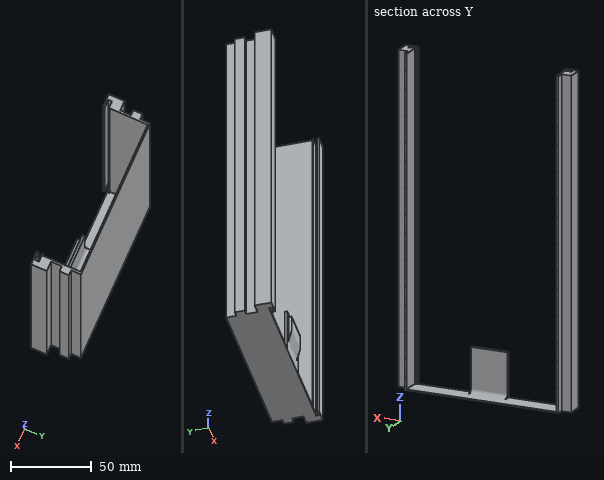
import cadquery as cq

width = 118.8
depth = 31.0
height = 220.0

wall = 1.5
panel = 1.0
wall_inset = 6.5
floor_front = 28.2

rib_inset = 3.0
rib_back = 6.5
rib_front = 13.0

rail_back = 20.2
rail_inner = 9.0
groove_end = 3.5
floor_inset = 5.3
groove_back = 27.3
groove_front = 29.7
lip_thickness = 0.7

plate_width = 25.0
plate_height = 30.8
plate_thickness = 1.8
foot_radius = 2.6

button_width = 19.4
button_projection = 2.2
button_bottom = 9.2
button_ramp_top = 17.8
button_top = 28.5
button_top_drop = 0.7
button_top_setback = 0.33


def block(x_start, x_end, front, back, z_height):
    """Upright block on the base plane; front and back are distances from the rear face."""
    return (
        cq.Workplane("XY")
        .box(x_end - x_start, front - back, z_height, centered=False)
        .translate((x_start, -front, 0))
    )


def side_profile(points, profile_width):
    """Extrude a (y, z) outline symmetrically about the middle of the part."""
    return cq.Workplane("YZ").polyline(points).close().extrude(profile_width / 2, both=True)


def make_left_side():
    left = -width / 2
    side = block(left + wall_inset, left + wall_inset + wall, groove_back, 0, height)
    side = side.union(block(left + rib_inset, left + wall_inset, rib_front, rib_back, height))
    side = side.union(block(left, left + wall_inset + wall, groove_back, rail_back, height))
    side = side.union(block(left, left + groove_end, depth, groove_back, height))
    side = side.union(block(left, left + rail_inner, depth, groove_front, height))
    lip_back = groove_back - lip_thickness
    return side.union(block(left + wall_inset, left + rail_inner, groove_back, lip_back, height))


def make_latch():
    plate_front = -floor_front
    plate_back = plate_front + plate_thickness
    plate = side_profile(
        [(plate_front, 0), (plate_back, 0), (plate_back, plate_height), (plate_front, plate_height)],
        plate_width,
    )
    foot_end = plate_back + foot_radius
    foot = (
        cq.Workplane("YZ")
        .moveTo(plate_back, panel)
        .lineTo(foot_end, panel)
        .radiusArc((plate_back, panel + foot_radius), foot_radius)
        .close()
        .extrude(plate_width / 2, both=True)
    )
    button_front = plate_front - button_projection
    button = side_profile(
        [
            (plate_back, button_bottom),
            (plate_front, button_bottom),
            (button_front, button_ramp_top),
            (button_front, button_top - button_top_drop),
            (button_front + button_top_setback, button_top),
            (plate_back, button_top),
        ],
        button_width,
    )
    return plate.union(foot).union(button)


panel_half = width / 2 - wall_inset
floor_half = width / 2 - floor_inset
inner_half = panel_half - wall
back_panel = block(-panel_half, panel_half, panel, 0, height)
floor = block(-inner_half, inner_half, floor_front, 0, panel)
groove_half = width / 2 - groove_end
groove_plug = block(-groove_half, -floor_half, groove_front, groove_back, panel)
floor_tongue = block(-floor_half, floor_half, floor_front, groove_back, panel)
left_side = make_left_side()

result = (
    back_panel.union(floor)
    .union(floor_tongue)
    .union(left_side)
    .union(groove_plug)
    .union(groove_plug.mirror("YZ"))
    .union(left_side.mirror("YZ"))
    .union(make_latch())
)